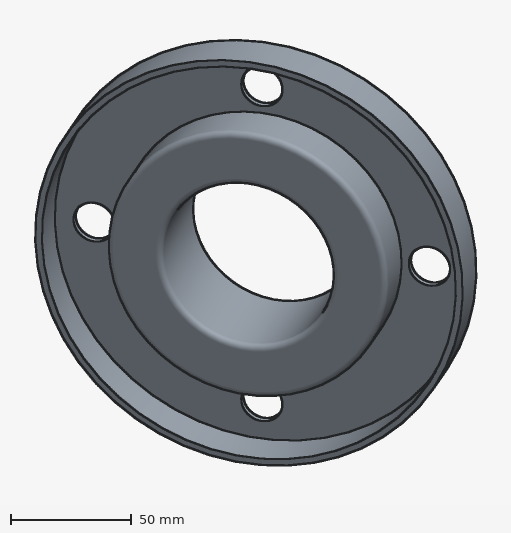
import cadquery as cq

total_length = 45.0
rim_front = 2.5
flange_back = 24.5
recess_floor = 21.0

flange_radius = 92.5
recess_radius = 89.5
boss_radius = 60.5
hub_root_radius = 39.8
hub_end_radius = 39.0
bore_radius = 36.8

boss_fillet = 2.5
flange_fillet = 2.4
bore_fillet = 2.5

bolt_count = 4
bolt_circle_radius = 72.5
bolt_hole_diameter = 17.8


def revolved_body():
    """Revolve the half section (radius, Y) of flange, boss and hub around Y."""
    diagonal = 0.5 ** 0.5

    def arc_middle(center_radius, center_y, size, radius_sign, y_sign):
        return (center_radius + radius_sign * size * diagonal, center_y + y_sign * size * diagonal)

    section = (
        cq.Workplane("ZY")
        .moveTo(bore_radius + bore_fillet, 0)
        .lineTo(boss_radius - boss_fillet, 0)
        .threePointArc(
            arc_middle(boss_radius - boss_fillet, boss_fillet, boss_fillet, 1, -1),
            (boss_radius, boss_fillet),
        )
        .lineTo(boss_radius, recess_floor)
        .lineTo(recess_radius, recess_floor)
        .lineTo(recess_radius, rim_front)
        .lineTo(flange_radius, rim_front)
        .lineTo(flange_radius, flange_back - flange_fillet)
        .threePointArc(
            arc_middle(flange_radius - flange_fillet, flange_back - flange_fillet, flange_fillet, 1, 1),
            (flange_radius - flange_fillet, flange_back),
        )
        .lineTo(hub_root_radius, flange_back)
        .lineTo(hub_end_radius, total_length)
        .lineTo(bore_radius, total_length)
        .lineTo(bore_radius, bore_fillet)
        .threePointArc(
            arc_middle(bore_radius + bore_fillet, bore_fillet, bore_fillet, -1, -1),
            (bore_radius + bore_fillet, 0),
        )
        .close()
    )
    return section.revolve(360, (0, 0, 0), (0, 1, 0))


def bolt_holes():
    """Cylinders along Y, evenly spaced on the bolt circle."""
    return (
        cq.Workplane("XZ", origin=(0, total_length, 0))
        .polarArray(bolt_circle_radius, 0, 360, bolt_count)
        .circle(bolt_hole_diameter / 2)
        .extrude(total_length)
    )


result = revolved_body().cut(bolt_holes())